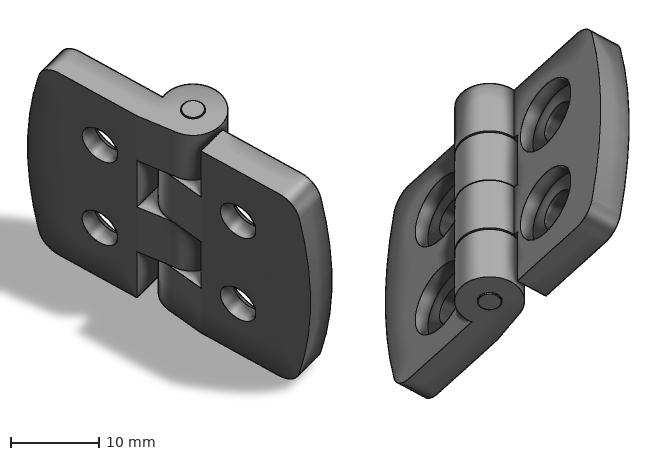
import cadquery as cq
import math

LENGTH = 39.95
LEAF_HEIGHT = 30.45
PIN_LENGTH = 30.7
PIN_DIAMETER = 2.6
BORE_DIAMETER = 2.8
KNUCKLE_RADIUS = 7.9 / 2
FACE_Y = -4.55
LEAF_THICKNESS = 4.08
LEAF_INNER_X = 4.5
SIDE_RADIUS = 53.55
CORNER_RADIUS = 2.95
HOLE_DIAMETER = 5.0
COUNTERBORE_DIAMETER = 9.35
COUNTERBORE_DEPTH = 1.8
HOLE_X = 9.75
HOLE_SPACING = 13.85
KNUCKLE_LENGTH = 7.47
MIDDLE_GAP = 0.08

BACK_Y = FACE_Y + LEAF_THICKNESS
HALF_LENGTH = LENGTH / 2
HALF_HEIGHT = LEAF_HEIGHT / 2
OUTER_KNUCKLE_Z = HALF_HEIGHT - KNUCKLE_LENGTH
INNER_KNUCKLE_Z = -MIDDLE_GAP / 2 - KNUCKLE_LENGTH


def plate():
    """Left leaf plate with bowed outer edge, rounded corners and two screw holes.

    The holes are counterbored from the back.
    """
    edge_x = math.sqrt(SIDE_RADIUS**2 - HALF_HEIGHT**2) - SIDE_RADIUS + HALF_LENGTH
    body = (
        cq.Workplane("XZ", origin=(0, FACE_Y, 0))
        .moveTo(-LEAF_INNER_X, -HALF_HEIGHT)
        .lineTo(-edge_x, -HALF_HEIGHT)
        .threePointArc((-HALF_LENGTH, 0), (-edge_x, HALF_HEIGHT))
        .lineTo(-LEAF_INNER_X, HALF_HEIGHT)
        .close()
        .extrude(-LEAF_THICKNESS)
        .edges("|Y")
        .edges("<X")
        .fillet(CORNER_RADIUS)
    )
    return (
        body.faces(">Y")
        .workplane(origin=(-HOLE_X, BACK_Y, 0))
        .rarray(0.4, HOLE_SPACING, 1, 2)
        .cboreHole(HOLE_DIAMETER, COUNTERBORE_DIAMETER, COUNTERBORE_DEPTH)
    )


def tangent_point():
    """Where a line from the plate's inner face corner touches the barrel's underside."""
    reach = math.hypot(LEAF_INNER_X, FACE_Y)
    slope = math.atan2(-FACE_Y, LEAF_INNER_X) - math.asin(KNUCKLE_RADIUS / reach)
    return (KNUCKLE_RADIUS * math.sin(slope), -KNUCKLE_RADIUS * math.cos(slope))


def knuckle(bottom_z, slope_end):
    """Left leaf knuckle: a barrel whose underside slopes from the plate's face to slope_end."""
    diagonal = KNUCKLE_RADIUS / math.sqrt(2)
    back_x = -math.sqrt(KNUCKLE_RADIUS**2 - BACK_Y**2)
    return (
        cq.Workplane("XY", origin=(0, 0, bottom_z))
        .moveTo(-LEAF_INNER_X, FACE_Y)
        .lineTo(*slope_end)
        .threePointArc((diagonal, diagonal), (back_x, BACK_Y))
        .lineTo(-LEAF_INNER_X, BACK_Y)
        .close()
        .extrude(KNUCKLE_LENGTH)
    )


def axis_cylinder(diameter):
    """Cylinder on the hinge axis, as long as the pin."""
    return cq.Workplane("XY").circle(diameter / 2).extrude(PIN_LENGTH / 2, both=True)


def left_leaf(inner_slope_end):
    """Leaf carrying the top knuckle and the third one down, bored for the pin."""
    outer_knuckle = knuckle(OUTER_KNUCKLE_Z, tangent_point())
    inner_knuckle = knuckle(INNER_KNUCKLE_Z, inner_slope_end)
    body = plate().union(outer_knuckle).union(inner_knuckle)
    return body.cut(axis_cylinder(BORE_DIAMETER))


hinge_pin = axis_cylinder(PIN_DIAMETER)
first_leaf = left_leaf((0, -KNUCKLE_RADIUS))
second_leaf = left_leaf(tangent_point()).rotate((0, 0, 0), (0, 1, 0), 180)

result = cq.Compound.makeCompound([first_leaf.val(), second_leaf.val(), hinge_pin.val()])